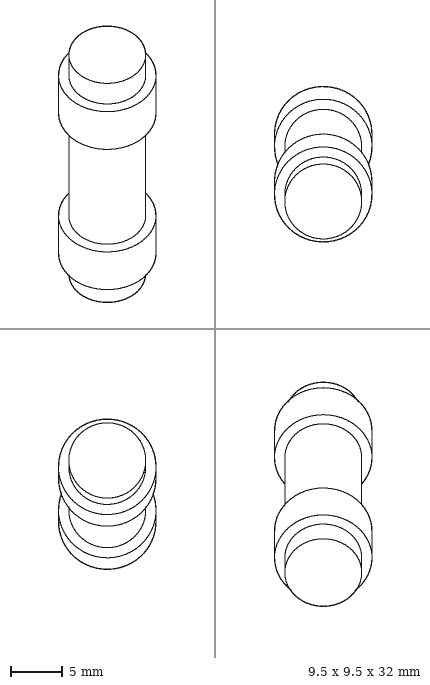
import cadquery as cq

pin_length = 32.0
pin_diameter = 7.5
collar_diameter = 9.5
collar_width = 5.5
end_length = 3.0

result = cq.Workplane("XY").circle(pin_diameter / 2).extrude(pin_length / 2, both=True)


def collar(bottom):
    """Collar around the pin, starting at the given height."""
    return cq.Workplane("XY").workplane(offset=bottom).circle(collar_diameter / 2).extrude(collar_width)


lower_collar_bottom = -pin_length / 2 + end_length
upper_collar_bottom = pin_length / 2 - end_length - collar_width
for collar_bottom in (lower_collar_bottom, upper_collar_bottom):
    result = result.union(collar(collar_bottom))